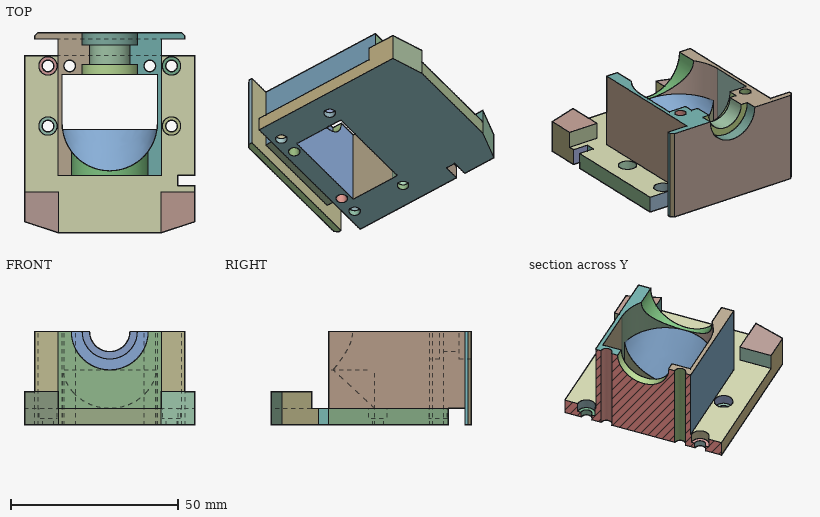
import cadquery as cq

LENGTH = 60.0
WIDTH = 51.0
HEIGHT = 28.0

BASE_THICKNESS = 5.0
BASE_BACK_Y = 53.1
FRONT_TAPER = 3.35

CORNER_HEIGHT = 10.0
CORNER_GAP = 30.7
CORNER_BACK_Y = 12.2

HOUSING_WIDTH = 31.0
HOUSING_FRONT_Y = 17.25
FLANGE_WIDTH = 45.0
FLANGE_THICKNESS = 2.0
FLANGE_CHAMFER = 1.0

CAVITY_WIDTH = 28.5
CAVITY_BACK_Y = 47.4
CAVITY_FRONT_Y = 18.6
WELL_FRONT_Y = 31.0

FRONT_BORE_DIAMETER = 23.0
SEAT_BORE_DIAMETER = 16.5
NECK_BORE_DIAMETER = 12.0
NECK_FRONT_Y = 50.5
NECK_BACK_Y = 56.2

SLOPE_TOP_Z = HEIGHT - FRONT_BORE_DIAMETER / 2
SLOPE_BOTTOM_Z = BASE_THICKNESS

HOLE_DIAMETER = 3.4
COUNTERBORE_DIAMETER = 5.5
COUNTERBORE_DEPTH = 3.0
BASE_HOLE_X = 18.5
BASE_HOLE_YS = (32.0, 50.0)
HOUSING_HOLE_X = 12.0
HOUSING_HOLE_Y = 50.0

NOTCH_DEPTH = 5.1
NOTCH_FRONT_Y = 14.2
NOTCH_BACK_Y = HOUSING_FRONT_Y


def centred_block(width, y_start, y_end, z_start, z_end):
    """Block centred on X between the given Y and Z limits."""
    return cq.Workplane("XY").box(
        width, y_end - y_start, z_end - z_start, centered=(True, False, False)
    ).translate((0, y_start, z_start))


def upright_cylinder(diameter, x, y, z_start, z_end):
    """Cylinder with a vertical axis."""
    return cq.Workplane("XY", origin=(x, y, z_start)).circle(diameter / 2).extrude(z_end - z_start)


def lengthwise_bore(diameter, y_start, y_end):
    """Cylinder along Y with its axis in the top face of the housing."""
    return cq.Workplane("XZ", origin=(0, y_start, HEIGHT)).circle(diameter / 2).extrude(y_start - y_end)


def make_base():
    """Plate with tapered front corners, a raised block on each corner and a side notch."""
    outline = [
        (-WIDTH / 2, BASE_BACK_Y),
        (-WIDTH / 2, FRONT_TAPER),
        (-CORNER_GAP / 2, 0),
        (CORNER_GAP / 2, 0),
        (WIDTH / 2, FRONT_TAPER),
        (WIDTH / 2, BASE_BACK_Y),
    ]
    base = cq.Workplane("XY").polyline(outline).close().extrude(CORNER_HEIGHT)
    base = base.cut(centred_block(CORNER_GAP, 0, CORNER_BACK_Y, BASE_THICKNESS, CORNER_HEIGHT))
    base = base.cut(centred_block(WIDTH, CORNER_BACK_Y, BASE_BACK_Y, BASE_THICKNESS, CORNER_HEIGHT))
    notch = centred_block(2 * NOTCH_DEPTH, NOTCH_FRONT_Y, NOTCH_BACK_Y, 0, BASE_THICKNESS)
    return base.cut(notch.translate((WIDTH / 2, 0, 0)))


def make_housing():
    """Block above the base with a full-height flange across its back."""
    body = centred_block(HOUSING_WIDTH, HOUSING_FRONT_Y, LENGTH, BASE_THICKNESS, HEIGHT)
    flange = centred_block(FLANGE_WIDTH, LENGTH - FLANGE_THICKNESS, LENGTH, 0, HEIGHT)
    flange = flange.edges("|Z and >Y").chamfer(FLANGE_CHAMFER)
    return body.union(flange)


def make_cavity():
    """Through well with a round front end that slopes back towards the base opening."""
    end_centre_y = CAVITY_FRONT_Y + CAVITY_WIDTH / 2
    well = centred_block(CAVITY_WIDTH, end_centre_y, CAVITY_BACK_Y, 0, HEIGHT)
    round_end = upright_cylinder(CAVITY_WIDTH, 0, end_centre_y, 0, HEIGHT)
    upper_end = round_end.intersect(centred_block(CAVITY_WIDTH, 0, LENGTH, SLOPE_TOP_Z, HEIGHT))
    base_opening = round_end.intersect(centred_block(CAVITY_WIDTH, WELL_FRONT_Y, end_centre_y, 0, HEIGHT))

    outline = cq.Wire.makeCircle(CAVITY_WIDTH / 2, cq.Vector(0, end_centre_y, SLOPE_TOP_Z), cq.Vector(0, 0, 1))
    slope = cq.Vector(0, WELL_FRONT_Y - CAVITY_FRONT_Y, SLOPE_BOTTOM_Z - SLOPE_TOP_Z)
    sloped_end = cq.Workplane(cq.Solid.extrudeLinear(outline, [], slope))
    sloped_end = sloped_end.intersect(centred_block(CAVITY_WIDTH, 0, CAVITY_BACK_Y, 0, HEIGHT))
    return well.union(upper_end).union(base_opening).union(sloped_end)


def cut_bores(part):
    """Front bore into the cavity, and a neck between two wider seats at the back."""
    part = part.cut(lengthwise_bore(FRONT_BORE_DIAMETER, HOUSING_FRONT_Y, WELL_FRONT_Y))
    part = part.cut(lengthwise_bore(SEAT_BORE_DIAMETER, CAVITY_BACK_Y, NECK_FRONT_Y))
    part = part.cut(lengthwise_bore(NECK_BORE_DIAMETER, NECK_FRONT_Y, NECK_BACK_Y))
    return part.cut(lengthwise_bore(SEAT_BORE_DIAMETER, NECK_BACK_Y, LENGTH))


def cut_holes(part):
    """Counterbored holes in the base and plain through holes in the housing."""
    counterbore_floor = BASE_THICKNESS - COUNTERBORE_DEPTH
    for side in (-1, 1):
        for y in BASE_HOLE_YS:
            x = side * BASE_HOLE_X
            part = part.cut(upright_cylinder(HOLE_DIAMETER, x, y, 0, BASE_THICKNESS))
            part = part.cut(upright_cylinder(COUNTERBORE_DIAMETER, x, y, counterbore_floor, BASE_THICKNESS))
        part = part.cut(upright_cylinder(HOLE_DIAMETER, side * HOUSING_HOLE_X, HOUSING_HOLE_Y, 0, HEIGHT))
    return part


result = make_base().union(make_housing()).cut(make_cavity())
result = cut_holes(cut_bores(result))